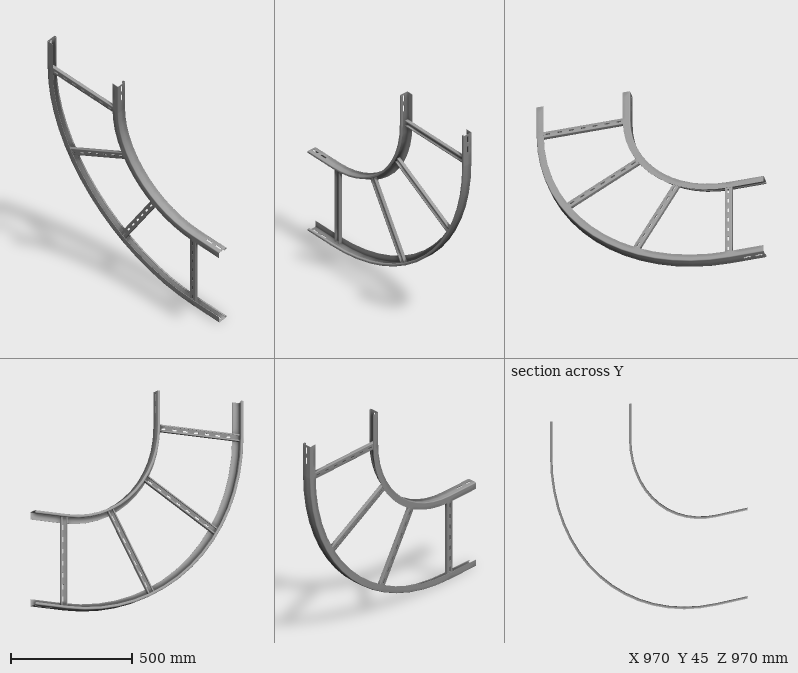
import cadquery as cq
import math


OUTER_SIZE = 970.0
LEG_LENGTH = 150.0
LADDER_WIDTH = 400.0
OUTER_RADIUS = OUTER_SIZE - LEG_LENGTH
INNER_RADIUS = OUTER_RADIUS - LADDER_WIDTH
BEND_ANGLE = 90.0

RAIL_DEPTH = 45.0
RAIL_THICKNESS = 1.5
RAIL_BEND = 4.0
FLANGE_WIDTH = 31.0
LIP_WIDTH = 12.0
LIP_RETURN = 9.0
LIP_BEND = 4.0

RAIL_SLOT_LENGTH = 30.0
RAIL_SLOT_WIDTH = 8.0
RAIL_SLOT_END_DISTANCE = 25.0
RAIL_SLOT_PITCH = 49.0
RAIL_SLOT_COUNT = 2

RUNG_COUNT = 4
RUNG_STEP = BEND_ANGLE / (RUNG_COUNT - 1)
RUNG_WIDTH = 30.0
RUNG_DEPTH = 16.0
RUNG_THICKNESS = 1.5
RUNG_BEND = 2.0
RUNG_LIP_WIDTH = 6.0
RUNG_END_GAP = 5.0
RUNG_SLOT_LENGTH = 20.0
RUNG_SLOT_WIDTH = 7.0
RUNG_SLOT_PITCH = 50.0
RUNG_SLOT_COUNT = 7


def unit_step(start, end):
    """Unit vector from one point of an outline to another."""
    length = math.dist(start[:2], end[:2])
    return (end[0] - start[0]) / length, (end[1] - start[1]) / length


def rounded_outline(workplane, corners):
    """Closed outline with square corners (x, y, radius), each rounded unless its radius is 0."""
    outline = workplane.moveTo(*corners[0][:2])
    for before, corner, after in zip(corners, corners[1:], corners[2:] + corners[:1]):
        x, y, radius = corner
        if radius == 0:
            outline = outline.lineTo(x, y)
            continue
        back = unit_step(corner, before)
        ahead = unit_step(corner, after)
        arc_middle = radius * (1 - math.sqrt(0.5))
        outline = outline.lineTo(x + radius * back[0], y + radius * back[1])
        outline = outline.threePointArc(
            (x + arc_middle * (back[0] + ahead[0]), y + arc_middle * (back[1] + ahead[1])),
            (x + radius * ahead[0], y + radius * ahead[1]),
        )
    return outline.close()


def rail_section(workplane, web_radius, inward):
    """Folded rail section; local x is minus the radius, and inward is the x sense of the flange."""
    inside_bend = RAIL_BEND - RAIL_THICKNESS
    inside_lip_bend = LIP_BEND - RAIL_THICKNESS
    lip_inside = LIP_WIDTH - RAIL_THICKNESS
    lip_end = RAIL_DEPTH - LIP_RETURN
    inner_back = RAIL_DEPTH - RAIL_THICKNESS
    corners = [
        (FLANGE_WIDTH, RAIL_THICKNESS, 0),
        (FLANGE_WIDTH, 0, 0),
        (0, 0, RAIL_BEND),
        (0, RAIL_DEPTH, RAIL_BEND),
        (LIP_WIDTH, RAIL_DEPTH, LIP_BEND),
        (LIP_WIDTH, lip_end, 0),
        (lip_inside, lip_end, 0),
        (lip_inside, inner_back, inside_lip_bend),
        (RAIL_THICKNESS, inner_back, inside_bend),
        (RAIL_THICKNESS, RAIL_THICKNESS, inside_bend),
    ]
    placed = [(inward * offset - web_radius, y, radius) for offset, y, radius in corners]
    return rounded_outline(workplane, placed)


def rail_slots(web_radius):
    """Cutters for the coupling slots near the free ends of both legs."""
    cutters = cq.Workplane()
    through = 2 * FLANGE_WIDTH
    for index in range(RAIL_SLOT_COUNT):
        along = LEG_LENGTH - RAIL_SLOT_END_DISTANCE - index * RAIL_SLOT_PITCH
        upright = cq.Workplane().box(through, RAIL_SLOT_WIDTH, RAIL_SLOT_LENGTH)
        level = cq.Workplane().box(RAIL_SLOT_LENGTH, RAIL_SLOT_WIDTH, through)
        cutters = cutters.add(upright.translate((-web_radius, RAIL_DEPTH / 2, along)))
        cutters = cutters.add(level.translate((along, RAIL_DEPTH / 2, -web_radius)))
    return cutters.combine()


def side_rail(web_radius, inward):
    """A quarter bend with a straight upright leg at one end and a level leg at the other."""
    upright_leg = rail_section(cq.Workplane("XY"), web_radius, inward).extrude(LEG_LENGTH)
    level_leg = rail_section(cq.Workplane("ZY"), web_radius, inward).extrude(-LEG_LENGTH)
    bend = rail_section(cq.Workplane("XY"), web_radius, inward).revolve(
        BEND_ANGLE, (0, 0, 0), (0, -1, 0)
    )
    rail = bend.union(upright_leg, clean=False).union(level_leg, clean=False)
    return rail.cut(rail_slots(web_radius), clean=False)


def rung(angle):
    """A slotted, lipped channel along the bend radius, resting on both rail flanges."""
    outer_end = OUTER_RADIUS - RUNG_END_GAP
    inner_end = INNER_RADIUS + RUNG_END_GAP
    front = RAIL_THICKNESS
    back = front + RUNG_DEPTH
    inner_front = front + RUNG_THICKNESS
    inner_back = back - RUNG_THICKNESS
    half_width = RUNG_WIDTH / 2
    inner_half = half_width - RUNG_THICKNESS
    lip_edge = half_width - RUNG_LIP_WIDTH
    inside_bend = RUNG_BEND - RUNG_THICKNESS
    corners = [
        (back, -lip_edge, 0),
        (back, -half_width, RUNG_BEND),
        (front, -half_width, RUNG_BEND),
        (front, half_width, RUNG_BEND),
        (back, half_width, RUNG_BEND),
        (back, lip_edge, 0),
        (inner_back, lip_edge, 0),
        (inner_back, inner_half, inside_bend),
        (inner_front, inner_half, inside_bend),
        (inner_front, -inner_half, inside_bend),
        (inner_back, -inner_half, inside_bend),
        (inner_back, -lip_edge, 0),
    ]
    plane = cq.Workplane("YZ", origin=(-outer_end, 0, 0))
    channel = rounded_outline(plane, corners).extrude(outer_end - inner_end)
    slots = (
        cq.Workplane("XZ", origin=(-(outer_end + inner_end) / 2, 0, 0))
        .rarray(RUNG_SLOT_PITCH, 10, RUNG_SLOT_COUNT, 1)
        .rect(RUNG_SLOT_LENGTH, RUNG_SLOT_WIDTH)
        .extrude(-back)
    )
    return channel.cut(slots).rotate((0, 0, 0), (0, -1, 0), angle)


outer_rail = side_rail(OUTER_RADIUS, 1)
inner_rail = side_rail(INNER_RADIUS, -1)
rungs = [rung(index * RUNG_STEP) for index in range(RUNG_COUNT)]

result = cq.Compound.makeCompound(
    [outer_rail.val(), inner_rail.val(), *[each.val() for each in rungs]]
)